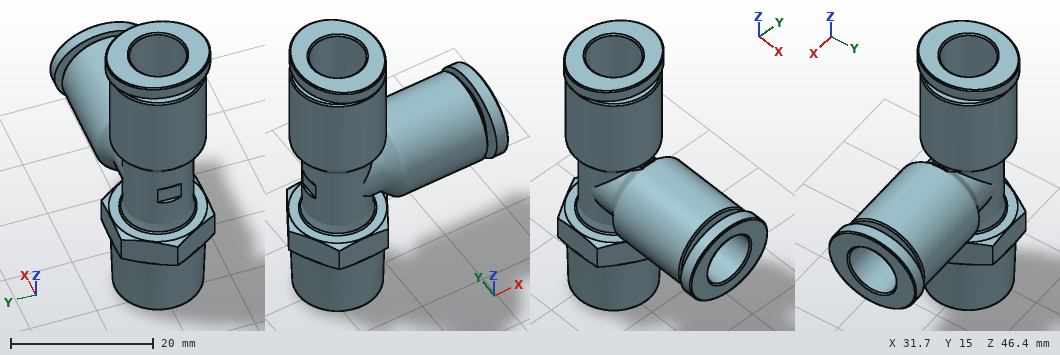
import cadquery as cq
import math

total_height = 46.4
arm_length = 23.6
branch_z = total_height - arm_length

thread_length = 11.0
thread_top_radius = 6.75
thread_tip_radius = 5.45
thread_chamfer_height = 1.05
thread_taper = 1 / 16

hex_flats = 14.0
hex_height = 4.5
hex_top_z = thread_length + hex_height
hex_chamfer_radius = 6.9
hex_chamfer_angle = 18.0

collar_top_z = 17.05
collar_base_radius = 5.25
collar_flare = 0.25

neck_radius = 5.0
sleeve_diameter = 13.6
sleeve_radius = sleeve_diameter / 2
sleeve_cone_start = 5.0
sleeve_cone_end = 7.05
sleeve_end = 20.7
sleeve_fillet = 0.85
sleeve_rim_chamfer = 0.25

stem_radius = 4.8
button_width = 13.0
button_breadth = 15.0
button_thickness = 2.0
button_chamfer = 0.2
button_start = arm_length - button_thickness

bore_radius = 4.05
bore_chamfer = 0.25
bore_bottom = sleeve_cone_end

web_width = 2.55
web_reach = 7.0

recess_depth = 0.32
recess_floor_height = 2.5
recess_mouth_height = 2.95


def make_arm():
    """Neck, sleeve, stem and oval button of one arm, starting at the origin and running up Z."""
    body = (
        cq.Workplane("XZ")
        .moveTo(0, 0)
        .lineTo(neck_radius, 0)
        .lineTo(neck_radius, sleeve_cone_start)
        .lineTo(sleeve_radius, sleeve_cone_end)
        .lineTo(sleeve_radius, sleeve_end)
        .lineTo(0, sleeve_end)
        .close()
        .revolve(360, (0, 0, 0), (0, 1, 0))
    )
    body = body.faces(">Z").edges().chamfer(sleeve_rim_chamfer)
    cone_ends = cq.selectors.BoxSelector(
        (-arm_length, -arm_length, sleeve_cone_start / 2),
        (arm_length, arm_length, (sleeve_cone_end + sleeve_end) / 2),
    )
    body = body.edges("%CIRCLE").edges(cone_ends).fillet(sleeve_fillet)
    stem_length = button_start - bore_bottom
    stem = cq.Workplane("XY").workplane(offset=bore_bottom).circle(stem_radius).extrude(stem_length)
    button = (
        cq.Workplane("XY")
        .workplane(offset=button_start)
        .ellipse(button_width / 2, button_breadth / 2)
        .extrude(button_thickness)
        .faces(">Z")
        .edges()
        .chamfer(button_chamfer)
    )
    return body.union(stem).union(button)


def make_socket():
    """Blind tube bore with a chamfered mouth, on the same axis as an arm."""
    return (
        cq.Workplane("XZ")
        .moveTo(0, bore_bottom)
        .lineTo(bore_radius, bore_bottom)
        .lineTo(bore_radius, arm_length - bore_chamfer)
        .lineTo(bore_radius + bore_chamfer, arm_length)
        .lineTo(0, arm_length)
        .close()
        .revolve(360, (0, 0, 0), (0, 1, 0))
    )


def on_run(shape):
    """Move a shape from the origin to the axis crossing, still pointing up."""
    return shape.translate((0, 0, branch_z))


def on_branch(shape):
    """Turn a shape to point along +X and move it to the axis crossing."""
    return shape.rotate((0, 0, 0), (0, 1, 0), 90).translate((0, 0, branch_z))


def make_stub():
    """Tapered thread, collar and lower neck."""
    thread_end_radius = thread_top_radius - (thread_length - thread_chamfer_height) * thread_taper / 2
    return (
        cq.Workplane("XZ")
        .moveTo(0, 0)
        .lineTo(thread_tip_radius, 0)
        .lineTo(thread_end_radius, thread_chamfer_height)
        .lineTo(thread_top_radius, thread_length)
        .lineTo(collar_base_radius + collar_flare, hex_top_z)
        .lineTo(collar_base_radius, hex_top_z + collar_flare)
        .lineTo(neck_radius, collar_top_z)
        .lineTo(neck_radius, branch_z)
        .lineTo(0, branch_z)
        .close()
        .revolve(360, (0, 0, 0), (0, 1, 0))
    )


def make_hexagon():
    """Hexagon with its corners along X and both ends chamfered by a cone."""
    corner_radius = hex_flats / 2 / math.cos(math.radians(30))
    chamfer_drop = (corner_radius - hex_chamfer_radius) * math.tan(math.radians(hex_chamfer_angle))
    prism = cq.Workplane("XY").workplane(offset=thread_length).polygon(6, 2 * corner_radius).extrude(hex_height)
    envelope = (
        cq.Workplane("XZ")
        .moveTo(0, thread_length)
        .lineTo(hex_chamfer_radius, thread_length)
        .lineTo(corner_radius, thread_length + chamfer_drop)
        .lineTo(corner_radius, hex_top_z - chamfer_drop)
        .lineTo(hex_chamfer_radius, hex_top_z)
        .lineTo(0, hex_top_z)
        .close()
        .revolve(360, (0, 0, 0), (0, 1, 0))
    )
    return prism.intersect(envelope)


def make_web():
    """Square block with one corner reaching into the angle between the two sleeves."""
    return cq.Workplane("XY").box(web_reach, web_width, web_reach, centered=(False, True, False))


def make_recess():
    """Bevelled cutter whose floor is a flat chord across the -X side of the neck."""
    return (
        cq.Workplane("XZ")
        .moveTo(-neck_radius, -recess_mouth_height / 2)
        .lineTo(-neck_radius + recess_depth, -recess_floor_height / 2)
        .lineTo(-neck_radius + recess_depth, recess_floor_height / 2)
        .lineTo(-neck_radius, recess_mouth_height / 2)
        .close()
        .extrude(neck_radius, both=True)
    )


arm = make_arm()
socket = make_socket()

result = make_stub().union(make_hexagon())
result = result.union(on_run(arm)).union(on_branch(arm)).union(on_run(make_web()))
result = result.cut(on_run(socket)).cut(on_branch(socket)).cut(on_run(make_recess()))